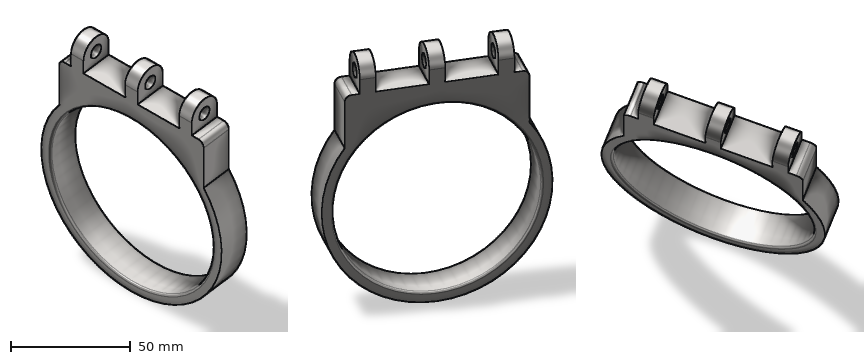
import cadquery as cq
import math

height = 120.0
thickness = 16.0
ring_diameter = 100.0
ring_radius = ring_diameter / 2
bore_radius = 45.0
bore_rounding = 1.0

block_width = 80.0
block_top = 55.1
corner_radius = 3.0

lug_count = 3
lug_width = 7.0
lug_pitch = 30.0
lug_radius = thickness / 2
pin_diameter = 6.5
pin_height = height - ring_radius - lug_radius


def ring_disc():
    """Solid disc centred on the origin, with its axis along Y."""
    return cq.Workplane("XZ").circle(ring_radius).extrude(thickness / 2, both=True)


def hinge_block():
    """Block from the ring axis to the hinge face, with rounded upper corners."""
    block = cq.Workplane("XY").box(block_width, thickness, block_top, centered=(True, True, False))
    return block.edges("|Y and >Z").fillet(corner_radius)


def hinge_lug(x_center):
    """Round-topped lug with a pin hole along X."""
    plane = cq.Workplane("YZ", origin=(x_center, 0, 0))
    root = block_top - corner_radius
    profile = (
        plane.moveTo(-lug_radius, root)
        .lineTo(-lug_radius, pin_height)
        .threePointArc((0, pin_height + lug_radius), (lug_radius, pin_height))
        .lineTo(lug_radius, root)
        .close()
    )
    lug = profile.extrude(lug_width / 2, both=True)
    pin_hole = plane.center(0, pin_height).circle(pin_diameter / 2).extrude(lug_width, both=True)
    return lug.cut(pin_hole)


def bore():
    """Through bore that flares with a convex rounding at the front (-Y) face."""
    arc_depth = bore_rounding * (1 - math.sqrt(0.5))
    front = -thickness / 2
    back = thickness / 2
    return (
        cq.Workplane("XY")
        .moveTo(0, front)
        .lineTo(bore_radius + bore_rounding, front)
        .threePointArc(
            (bore_radius + arc_depth, front + arc_depth),
            (bore_radius, front + bore_rounding),
        )
        .lineTo(bore_radius, back)
        .lineTo(0, back)
        .close()
        .revolve(360, (0, 0, 0), (0, 1, 0))
    )


result = ring_disc().union(hinge_block()).cut(bore())
for index in range(lug_count):
    lug_x = (index - (lug_count - 1) / 2) * lug_pitch
    result = result.union(hinge_lug(lug_x))